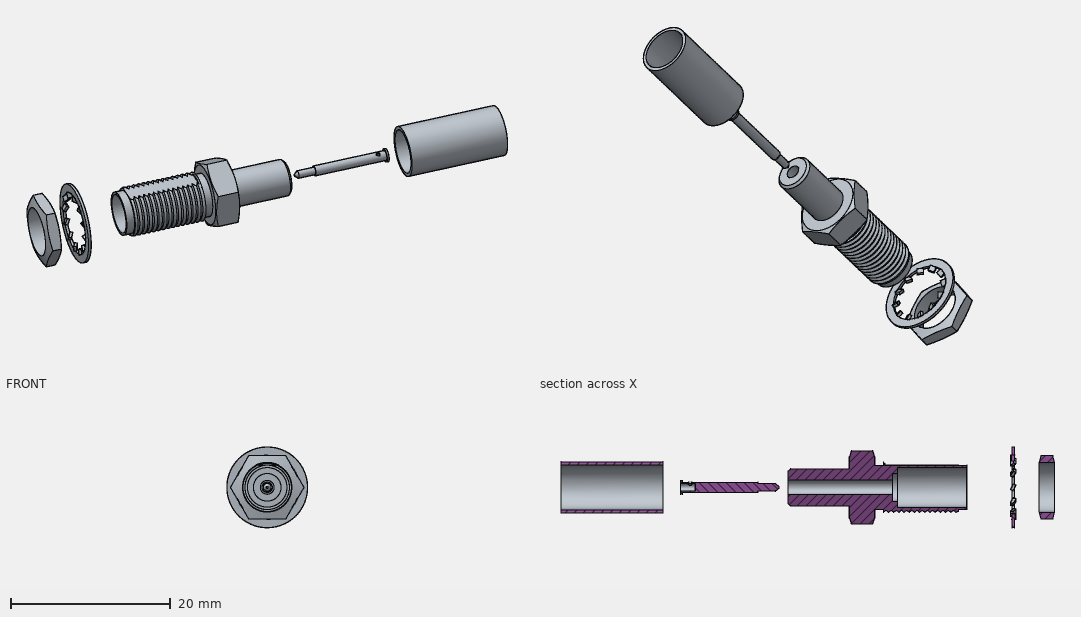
import cadquery as cq
import math

ASSEMBLY_LENGTH = 61.85
HEX_ACROSS_FLATS = 8.0
HEX_ACROSS_CORNERS = HEX_ACROSS_FLATS / math.cos(math.radians(30))

FERRULE_LENGTH = 12.8
FERRULE_RADIUS = 3.2
FERRULE_WALL = 0.45

PIN_REAR_Y = 46.9
PIN_FLANGE_RADIUS = 0.85
PIN_FLANGE_THICKNESS = 0.25
PIN_SHAFT_RADIUS = 1.3 / 2
PIN_SHAFT_FRONT_Y = 37.15
PIN_TIP_RADIUS = 0.5
PIN_TIP_LENGTH = 2.2
PIN_POINT_LENGTH = 0.45
PIN_POINT_RADIUS = 0.1
SOLDER_HOLE_RADIUS = 0.25
SOLDER_HOLE_Y = 45.65
SOLDER_HOLE_TILT = 20.0
SOLDER_CUP_RADIUS = 0.45
SOLDER_CUP_DEPTH = 1.85

BODY_FRONT_Y = 11.0
BODY_LENGTH = 22.4
BODY_REAR_Y = BODY_FRONT_Y + BODY_LENGTH
BARREL_RADIUS = 2.35
BARREL_CHAMFER = 0.3
BODY_HEX_FRONT_Y = 22.5
BODY_HEX_THICKNESS = 3.2
BODY_HEX_REAR_Y = BODY_HEX_FRONT_Y + BODY_HEX_THICKNESS
BODY_HEX_BEVEL_RADIUS = 3.85
BODY_HEX_BEVEL_ANGLE = 20.0
NECK_RADIUS = 2.8
THREAD_CREST_RADIUS = 3.15
THREAD_ROOT_RADIUS = 2.9
THREAD_END_RADIUS = 3.0
THREAD_REAR_Y = 21.45
THREAD_PITCH = 0.65
THREAD_RIDGES = 15
THREAD_FLAT_Z = NECK_RADIUS
THREAD_FLAT_REAR_Y = 21.3
SOCKET_RADIUS = 2.5
SOCKET_DEPTH = 8.65
SOCKET_STEP_RADIUS = 1.75
SOCKET_STEP_DEPTH = 0.6
CONTACT_BORE_RADIUS = PIN_FLANGE_RADIUS

WASHER_RADIUS = 5.1
WASHER_RING_INNER_RADIUS = 3.95
WASHER_CENTRE_Y = 5.2
WASHER_THICKNESS = 0.4
TOOTH_COUNT = 12
TOOTH_TIP_RADIUS = 3.3
TOOTH_WIDTH = 0.8
TOOTH_TWIST = 30.0
TOOTH_ROOT_OVERLAP = 0.05

NUT_THICKNESS = 2.0
NUT_HOLE_RADIUS = 3.1
NUT_CONE_ANGLE = 15.0


def revolve_profile(points):
    """Solid of revolution about the Y axis from (radius, y) points."""
    return cq.Workplane("XY").polyline(points).close().revolve(360, (0, 0, 0), (0, 1, 0))


def cylinder(radius, front_y, rear_y):
    """Solid cylinder on the Y axis."""
    return revolve_profile([(0, front_y), (radius, front_y), (radius, rear_y), (0, rear_y)])


def hex_prism(front_y, thickness, first_corner_angle):
    """Hexagonal prism on the Y axis."""
    prism = (
        cq.Workplane("XZ", origin=(0, front_y, 0))
        .polygon(6, HEX_ACROSS_CORNERS)
        .extrude(-thickness)
    )
    return prism.rotate((0, 0, 0), (0, 1, 0), first_corner_angle)


def make_ferrule():
    front_y = ASSEMBLY_LENGTH - FERRULE_LENGTH
    tube = cylinder(FERRULE_RADIUS, front_y, ASSEMBLY_LENGTH)
    return tube.cut(cylinder(FERRULE_RADIUS - FERRULE_WALL, front_y, ASSEMBLY_LENGTH))


def make_pin():
    flange_front_y = PIN_REAR_Y - PIN_FLANGE_THICKNESS
    point_base_y = PIN_SHAFT_FRONT_Y - PIN_TIP_LENGTH
    point_y = point_base_y - PIN_POINT_LENGTH
    pin = revolve_profile([
        (0, PIN_REAR_Y),
        (PIN_FLANGE_RADIUS, PIN_REAR_Y),
        (PIN_FLANGE_RADIUS, flange_front_y),
        (PIN_SHAFT_RADIUS, flange_front_y),
        (PIN_SHAFT_RADIUS, PIN_SHAFT_FRONT_Y),
        (PIN_TIP_RADIUS, PIN_SHAFT_FRONT_Y),
        (PIN_TIP_RADIUS, point_base_y),
        (PIN_POINT_RADIUS, point_y),
        (0, point_y),
    ])
    solder_cup = cylinder(SOLDER_CUP_RADIUS, PIN_REAR_Y - SOLDER_CUP_DEPTH, PIN_REAR_Y)
    solder_hole = (
        cq.Workplane("XY", origin=(0, SOLDER_HOLE_Y, 0))
        .circle(SOLDER_HOLE_RADIUS)
        .extrude(2 * PIN_SHAFT_RADIUS)
        .rotate((0, 0, 0), (0, 1, 0), SOLDER_HOLE_TILT)
    )
    return pin.cut(solder_cup).cut(solder_hole)


def make_body_hex():
    """Wrench hexagon with a corner up and its corners bevelled at both ends."""
    prism = hex_prism(BODY_HEX_FRONT_Y, BODY_HEX_THICKNESS, 30)
    corner_radius = HEX_ACROSS_CORNERS / 2
    bevel = (corner_radius - BODY_HEX_BEVEL_RADIUS) * math.tan(math.radians(BODY_HEX_BEVEL_ANGLE))
    envelope = revolve_profile([
        (0, BODY_HEX_FRONT_Y),
        (BODY_HEX_BEVEL_RADIUS, BODY_HEX_FRONT_Y),
        (corner_radius, BODY_HEX_FRONT_Y + bevel),
        (corner_radius, BODY_HEX_REAR_Y - bevel),
        (BODY_HEX_BEVEL_RADIUS, BODY_HEX_REAR_Y),
        (0, BODY_HEX_REAR_Y),
    ])
    return prism.intersect(envelope)


def make_thread():
    """Ring-shaped thread ridges, flattened on top except for the rearmost edge."""
    points = [(0, THREAD_REAR_Y), (THREAD_CREST_RADIUS, THREAD_REAR_Y)]
    for ridge in range(1, THREAD_RIDGES):
        crest_y = THREAD_REAR_Y - ridge * THREAD_PITCH
        points.append((THREAD_ROOT_RADIUS, crest_y + THREAD_PITCH / 2))
        points.append((THREAD_CREST_RADIUS, crest_y))
    front_y = THREAD_REAR_Y - (THREAD_RIDGES - 0.5) * THREAD_PITCH
    points += [(THREAD_END_RADIUS, front_y), (0, front_y)]
    flat_cutter = cq.Workplane("XY").box(
        2 * THREAD_CREST_RADIUS,
        THREAD_FLAT_REAR_Y - front_y,
        THREAD_CREST_RADIUS,
        centered=(True, False, False),
    ).translate((0, front_y, THREAD_FLAT_Z))
    return revolve_profile(points).cut(flat_cutter)


def make_body():
    barrel = cylinder(BARREL_RADIUS, BODY_HEX_FRONT_Y, BODY_REAR_Y).faces(">Y").chamfer(BARREL_CHAMFER)
    nose = cylinder(NECK_RADIUS, BODY_FRONT_Y, BODY_HEX_REAR_Y)
    socket_floor_y = BODY_FRONT_Y + SOCKET_DEPTH
    socket = cylinder(SOCKET_RADIUS, BODY_FRONT_Y, socket_floor_y)
    socket_step = cylinder(SOCKET_STEP_RADIUS, BODY_FRONT_Y, socket_floor_y + SOCKET_STEP_DEPTH)
    contact_bore = cylinder(CONTACT_BORE_RADIUS, BODY_FRONT_Y, BODY_REAR_Y)
    outside = nose.union(make_thread()).union(make_body_hex()).union(barrel)
    return outside.cut(socket).cut(socket_step).cut(contact_bore)


def make_washer():
    """Flat ring with internal teeth, each twisted about its own radial axis."""
    front_y = WASHER_CENTRE_Y - WASHER_THICKNESS / 2
    rear_y = WASHER_CENTRE_Y + WASHER_THICKNESS / 2
    washer = cylinder(WASHER_RADIUS, front_y, rear_y).cut(
        cylinder(WASHER_RING_INNER_RADIUS, front_y, rear_y)
    )
    tooth_length = WASHER_RING_INNER_RADIUS + TOOTH_ROOT_OVERLAP - TOOTH_TIP_RADIUS
    tooth = (
        cq.Workplane("XY")
        .box(TOOTH_WIDTH, WASHER_THICKNESS, tooth_length, centered=(True, True, False))
        .rotate((0, 0, 0), (0, 0, 1), TOOTH_TWIST)
        .translate((0, WASHER_CENTRE_Y, TOOTH_TIP_RADIUS))
    )
    for index in range(TOOTH_COUNT):
        washer = washer.union(tooth.rotate((0, 0, 0), (0, 1, 0), index * 360 / TOOTH_COUNT))
    return washer


def make_nut():
    """Hexagon nut with both faces coned from the hole edge out to the corners."""
    corner_radius = HEX_ACROSS_CORNERS / 2
    fall = (corner_radius - NUT_HOLE_RADIUS) * math.tan(math.radians(NUT_CONE_ANGLE))
    envelope = revolve_profile([
        (NUT_HOLE_RADIUS, 0),
        (corner_radius, fall),
        (corner_radius, NUT_THICKNESS - fall),
        (NUT_HOLE_RADIUS, NUT_THICKNESS),
    ])
    return hex_prism(0, NUT_THICKNESS, 0).intersect(envelope)


ferrule = make_ferrule()
pin = make_pin()
body = make_body()
washer = make_washer()
nut = make_nut()

result = cq.Compound.makeCompound([
    ferrule.val(),
    pin.val(),
    body.val(),
    washer.val(),
    nut.val(),
])